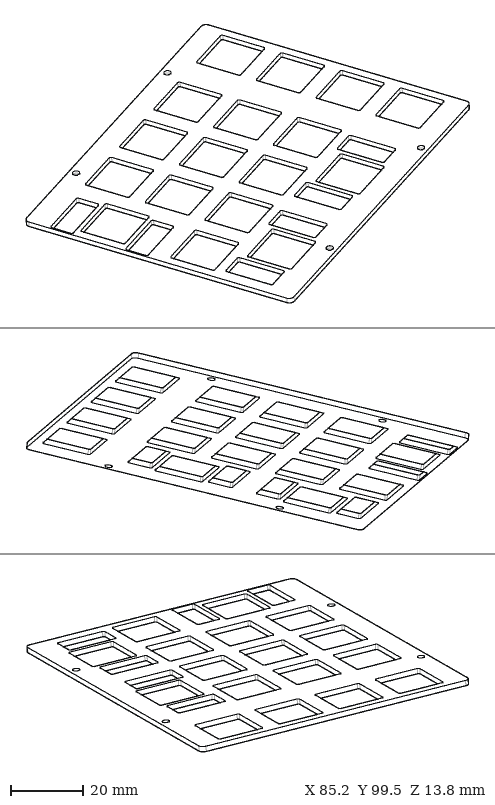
import cadquery as cq
import math

TILT = 7.0
OVERALL_DEPTH = 99.5
WIDTH = 85.2
THICKNESS = 1.6
CORNER_RADIUS = 1.5

tilt_angle = math.radians(TILT)
LENGTH = (OVERALL_DEPTH - THICKNESS * math.sin(tilt_angle)) / math.cos(tilt_angle)

COLUMNS = 4
ROWS_WITH_GAP = 5.25
PITCH = LENGTH / ROWS_WITH_GAP

SWITCH_SIZE = 14.0
CUTOUT_RADIUS = 0.5

STABILIZER_LONG = 14.9
STABILIZER_SHORT = 7.1
STABILIZER_SPACING = 11.9
STABILIZER_SHIFT = 1.6

HOLE_DIAMETER = 2.0
HOLE_EDGE_DISTANCE = 2.2
HOLE_HEIGHTS = (25.2, 76.0)


def column_x(column):
    """X of a key column, counted from the left; halves lie between columns."""
    return (column - (COLUMNS - 1) / 2) * PITCH


def row_y(row):
    """Position along the plate of a key row, counted from the front edge."""
    return -LENGTH / 2 + (row + 0.5) * PITCH


def cutter(x, y, size_x, size_y):
    """Rounded rectangular cutter passing through the plate."""
    return (
        cq.Workplane("XY")
        .center(x, y)
        .rect(size_x, size_y)
        .extrude(THICKNESS, both=True)
        .edges("|Z")
        .fillet(CUTOUT_RADIUS)
    )


def switch_cutter(column, row):
    return cutter(column_x(column), row_y(row), SWITCH_SIZE, SWITCH_SIZE)


def tall_key_cutters(column, row):
    """Switch and stabilizers of a key two rows tall."""
    x = column_x(column) - STABILIZER_SHIFT
    y = row_y(row)
    cutters = [switch_cutter(column, row)]
    for side in (-1, 1):
        cutters.append(cutter(x, y + side * STABILIZER_SPACING, STABILIZER_LONG, STABILIZER_SHORT))
    return cutters


def wide_key_cutters(column, row):
    """Switch and stabilizers of a key two columns wide."""
    x = column_x(column)
    y = row_y(row) - STABILIZER_SHIFT
    cutters = [switch_cutter(column, row)]
    for side in (-1, 1):
        cutters.append(cutter(x + side * STABILIZER_SPACING, y, STABILIZER_SHORT, STABILIZER_LONG))
    return cutters


plate = cq.Workplane("XY").box(WIDTH, LENGTH, THICKNESS).edges("|Z").fillet(CORNER_RADIUS)

TOP_ROW = ROWS_WITH_GAP - 1
single_keys = [(column, TOP_ROW) for column in range(COLUMNS)]
single_keys += [(column, row) for column in range(3) for row in (1, 2, 3)]
single_keys.append((2, 0))

cutters = [switch_cutter(column, row) for column, row in single_keys]
cutters += tall_key_cutters(3, 0.5)
cutters += tall_key_cutters(3, 2.5)
cutters += wide_key_cutters(0.5, 0)
for tool in cutters:
    plate = plate.cut(tool)

hole_x = WIDTH / 2 - HOLE_EDGE_DISTANCE
hole_points = [(side * hole_x, height - LENGTH / 2) for side in (-1, 1) for height in HOLE_HEIGHTS]
plate = plate.cut(
    cq.Workplane("XY").pushPoints(hole_points).circle(HOLE_DIAMETER / 2).extrude(THICKNESS, both=True)
)

result = plate.rotate((0, 0, 0), (1, 0, 0), TILT)